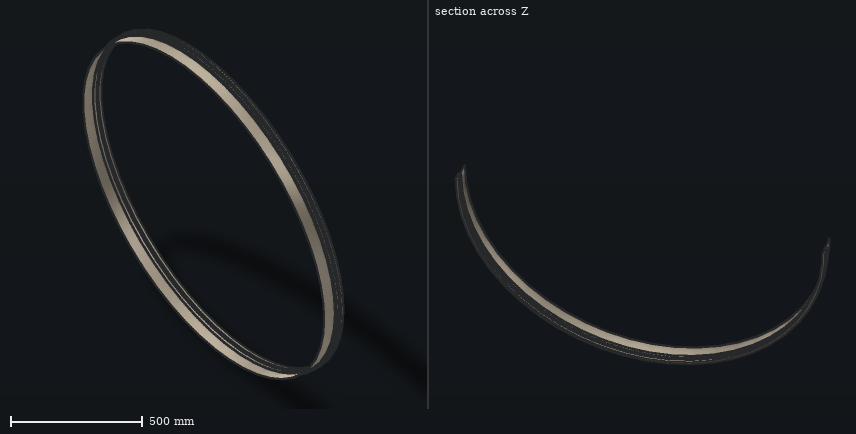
import cadquery as cq

ring_width = 89.0
front = -ring_width / 2
back = ring_width / 2

outer_radius = 1476 / 2
inner_radius = 725.0
rim_width = 38.0
edge_radius = 1472.0 / 2
edge_bevel = 5.0
rim_front = back - rim_width

groove_start = 13.0
groove_width = 12.0
groove_slope = 3.0
outer_groove_radius = 1467.0 / 2
inner_groove_radius = 729.0

skirt_root_radius = 730.0
skirt_tip_radius = 728.0
skirt_wall = 3.0


def groove(rim_radius, floor_radius):
    """Corner points of a trapezoidal groove, from its back wall to its front wall."""
    groove_back = back - groove_start
    groove_front = groove_back - groove_width
    return [
        (rim_radius, groove_back),
        (floor_radius, groove_back - groove_slope),
        (floor_radius, groove_front + groove_slope),
        (rim_radius, groove_front),
    ]


outside = [
    (edge_radius, back),
    (outer_radius, back - edge_bevel),
    *groove(outer_radius, outer_groove_radius),
    (outer_radius, rim_front + edge_bevel),
    (edge_radius, rim_front),
    (skirt_root_radius, rim_front),
    (skirt_tip_radius, front),
]
inside = [
    (inner_radius, back),
    *groove(inner_radius, inner_groove_radius),
    (inner_radius, rim_front),
    (skirt_root_radius - skirt_wall, rim_front),
    (skirt_tip_radius - skirt_wall, front),
]

section = cq.Workplane("XY").polyline(outside + inside[::-1]).close()
result = section.revolve(360, (0, 0, 0), (0, 1, 0))